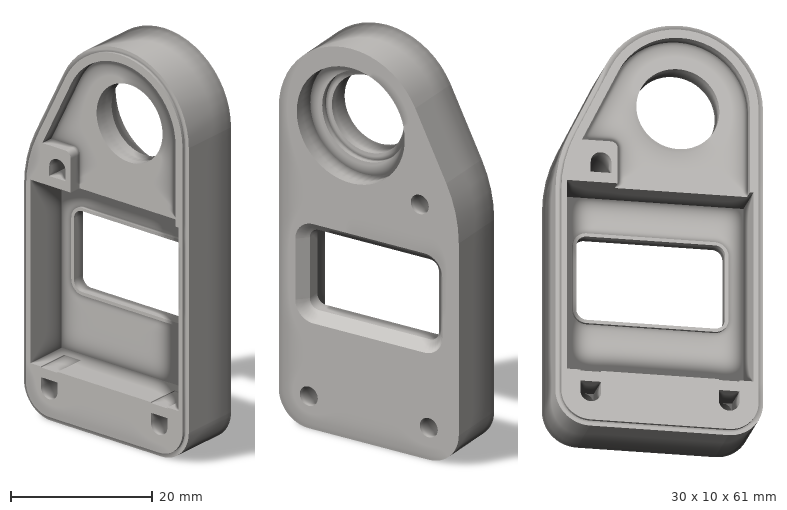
import cadquery as cq
import math

width = 30.0
depth = 10.0
height = 61.0
half_width = width / 2
corner_radius = 5.0
corner_x = half_width - corner_radius
crown_radius = 12.0
crown_x = half_width - crown_radius
crown_z = height - crown_radius
shoulder_radius = 20.0
shoulder_x = shoulder_radius - half_width
shoulder_z = 35.0

lip_inset = 0.75
lip_height = 0.5

recess_inset = 2.0
recess_depth = 2.0
boss_right = -6.1
boss_top = 42.75
boss_corner_radius = 1.0

bay_left = -13.4
bay_right = 13.5
bay_bottom = 8.15
bay_top = 36.5
bay_depth = 7.0

window_width = 21.5
window_height = 12.5
window_corner_radius = 1.5
window_z = 24.3
window_flare = 1.5
flare_angle = 45.0
rim_width = 0.5
rim_height = 0.5

crown_hole_steps = ((12.0, 0.0), (14.0, 5.4), (18.0, 6.4))

screw_diameter = 3.0
screw_x = corner_x
screw_z = corner_radius
upper_screw_x = -8.5
upper_screw_z = 39.5
pocket_depth = 5.3
pocket_wall = 1.5
notch_reach = 1.0


def front_plane(y):
    """Sketch plane facing the front at depth y; extruding by -d goes d deeper."""
    return cq.Workplane("XZ", origin=(0, y, 0))


def outline(y, inset):
    """Closed outer profile of the body, offset inwards by inset."""
    crown = crown_radius - inset
    shoulder = shoulder_radius - inset
    corner = corner_radius - inset
    side = half_width - inset
    centre_distance = math.hypot(crown_x - shoulder_x, crown_z - shoulder_z)
    centre_angle = math.atan2(shoulder_x - crown_x, crown_z - shoulder_z)
    slope = math.asin((shoulder_radius - crown_radius) / centre_distance) - centre_angle

    def on_crown(angle):
        return (crown_x - crown * math.cos(angle), crown_z + crown * math.sin(angle))

    def on_shoulder(angle):
        return (shoulder_x - shoulder * math.cos(angle), shoulder_z + shoulder * math.sin(angle))

    diagonal = corner * math.sqrt(0.5)
    return (
        front_plane(y)
        .moveTo(-corner_x, inset)
        .lineTo(corner_x, inset)
        .threePointArc((corner_x + diagonal, corner_radius - diagonal), (side, corner_radius))
        .lineTo(side, crown_z)
        .threePointArc(on_crown(math.pi / 2), on_crown(slope))
        .lineTo(*on_shoulder(slope))
        .threePointArc(on_shoulder(slope / 2), on_shoulder(0))
        .lineTo(-side, corner_radius)
        .threePointArc((-corner_x - diagonal, corner_radius - diagonal), (-corner_x, inset))
        .close()
    )


def block(x_range, z_range, y_start, y_end):
    """Axis-aligned box between the given limits."""
    size_x = x_range[1] - x_range[0]
    size_z = z_range[1] - z_range[0]
    return cq.Workplane("XY").box(size_x, y_end - y_start, size_z, centered=False).translate(
        (x_range[0], y_start, z_range[0])
    )


def cylinder(x, z, diameter, y_start, y_end):
    """Cylinder along Y centred at (x, z)."""
    return front_plane(y_start).center(x, z).circle(diameter / 2).extrude(y_start - y_end)


def make_body():
    body = outline(lip_height, 0).extrude(lip_height - depth)
    lip = outline(0, lip_inset).extrude(-lip_height)
    return body.union(lip)


def make_recess():
    """Recess under the crown, ending at the bay and leaving the upper screw boss standing."""
    recess = outline(0, recess_inset).extrude(-recess_depth)
    boss = block((-width, boss_right), (0, boss_top), 0, recess_depth)
    boss = boss.edges("|Y and >X and >Z").fillet(boss_corner_radius)
    below = block((-width, width), (0, bay_top), 0, recess_depth)
    return recess.cut(boss).cut(below)


def make_bay():
    return block((bay_left, bay_right), (bay_bottom, bay_top), 0, bay_depth)


def rounded_block(size_x, size_z, radius, y_start, y_end):
    """Round-cornered block centred on the window."""
    block_outline = front_plane(y_start).center(0, window_z).rect(size_x, size_z)
    return block_outline.extrude(y_start - y_end).edges("|Y").fillet(radius)


def make_window_rim():
    return rounded_block(
        window_width + 2 * rim_width,
        window_height + 2 * rim_width,
        window_corner_radius + rim_width,
        bay_depth - rim_height,
        bay_depth,
    )


def make_window():
    """Window opening, flaring out at 45 degrees to the back face."""
    opening = rounded_block(window_width, window_height, window_corner_radius, 0, depth)
    flare_start = front_plane(depth - window_flare).center(0, window_z)
    profile = cq.Sketch().rect(window_width, window_height).vertices().fillet(window_corner_radius)
    flare = flare_start.placeSketch(profile).extrude(-window_flare, taper=-flare_angle)
    return opening.union(flare)


def make_crown_hole():
    hole = cq.Workplane("XZ")
    for diameter, start in crown_hole_steps:
        hole = hole.union(cylinder(crown_x, crown_z, diameter, start, depth))
    return hole


def make_screw_hole(x, z, toward_bay):
    """Through hole with a front pocket squared off on the bay's side (+1 bay above, -1 bay below).

    A notch of the same width starts one wall beyond the pocket and opens into the bay.
    """
    radius = screw_diameter / 2
    x_range = (x - radius, x + radius)
    square_end = z + toward_bay * radius
    notch_start = square_end + toward_bay * pocket_wall
    notch_end = notch_start + toward_bay * notch_reach
    hole = cylinder(x, z, screw_diameter, 0, depth)
    pocket = block(x_range, sorted((z, square_end)), 0, pocket_depth)
    notch = block(x_range, sorted((notch_start, notch_end)), 0, pocket_depth)
    return hole.union(pocket).union(notch)


result = make_body().cut(make_recess()).cut(make_bay())
result = result.union(make_window_rim()).cut(make_window()).cut(make_crown_hole())
for side in (-1, 1):
    result = result.cut(make_screw_hole(side * screw_x, screw_z, 1))
result = result.cut(make_screw_hole(upper_screw_x, upper_screw_z, -1))